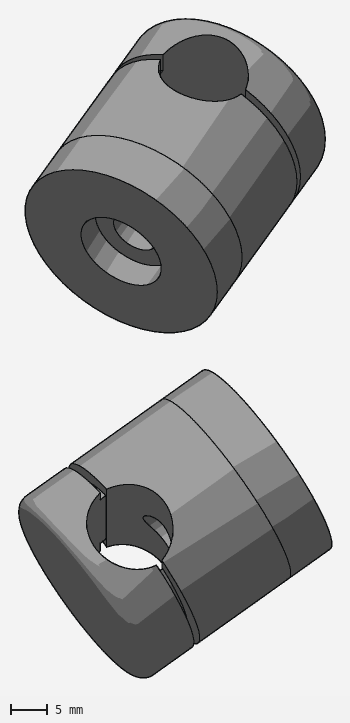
import cadquery as cq

outer_diameter = 30.0
total_length = 32.0

base_length = 7.0
seat_y = 22.5
slot_width = 1.0
cap_rim_y = seat_y + slot_width

neck_diameter = 24.2
cap_edge_radius = 2.0

tube_bore_diameter = 13.0
body_bore_y = 24.0
cap_bore_y = seat_y

screw_hole_diameter = 6.8
counterbore_diameter = 12.5
counterbore_depth = 4.0


def disc(diameter, start_y, end_y):
    """Cylinder on the Y axis between two positions."""
    return (
        cq.Workplane("XZ", origin=(0, start_y, 0))
        .circle(diameter / 2)
        .extrude(start_y - end_y)
    )


def tube_bore(centre_y):
    """Cylinder along Z that cuts the tube's bore, centred at the given Y."""
    return (
        cq.Workplane("XY", origin=(0, centre_y, -outer_diameter / 2))
        .circle(tube_bore_diameter / 2)
        .extrude(outer_diameter)
    )


def make_base():
    """Front disc with the screw hole and its counterbore."""
    base = disc(outer_diameter, 0, base_length)
    base = base.cut(disc(screw_hole_diameter, 0, base_length))
    return base.cut(disc(counterbore_diameter, 0, counterbore_depth))


def make_body():
    """Middle cylinder: front half of the tube bore, with the screw hole opening into it."""
    body = disc(outer_diameter, base_length, seat_y)
    body = body.cut(disc(screw_hole_diameter, base_length, seat_y))
    return body.cut(tube_bore(body_bore_y))


def make_cap():
    """Rounded end cap with a narrower neck and the rear half of the tube bore."""
    cap = disc(outer_diameter, cap_rim_y, total_length)
    cap = cap.faces(">Y").edges().fillet(cap_edge_radius)
    cap = cap.union(disc(neck_diameter, seat_y, cap_rim_y))
    return cap.cut(tube_bore(cap_bore_y))


base = make_base()
body = make_body()
cap = make_cap()

result = cq.Compound.makeCompound([*base.solids().vals(), *body.solids().vals(), *cap.solids().vals()])